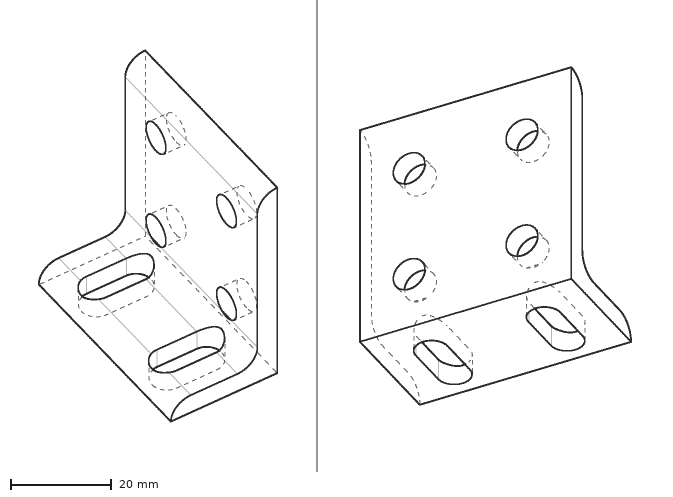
import cadquery as cq

width = 47.625
depth = 25.4
height = 50.8
thickness = 4.7625

tip_radius = thickness
corner_radius = thickness

hole_diameter = 7.14375
hole_spacing = 25.4
lower_hole_height = 12.7
slot_width = hole_diameter
slot_travel = 9.525
slot_length = slot_width + slot_travel
slot_center_from_toe = 11.1125

back_y = depth / 2
toe_y = -depth / 2
bottom_z = -height / 2
column_xs = (-hole_spacing / 2, hole_spacing / 2)


def make_angle():
    """L-shaped bar with quarter-round leg tips and a filleted inside corner."""
    wall_face_y = back_y - thickness
    foot_top_z = bottom_z + thickness
    top_z = bottom_z + height
    return (
        cq.Workplane("YZ")
        .moveTo(back_y, bottom_z)
        .lineTo(back_y, top_z)
        .radiusArc((wall_face_y, top_z - tip_radius), -tip_radius)
        .lineTo(wall_face_y, foot_top_z + corner_radius)
        .radiusArc((wall_face_y - corner_radius, foot_top_z), corner_radius)
        .lineTo(toe_y + tip_radius, foot_top_z)
        .radiusArc((toe_y, bottom_z), -tip_radius)
        .close()
        .extrude(width / 2, both=True)
    )


def make_wall_holes():
    """Square pattern of round holes, running along Y through the wall thickness.

    They stop at the wall face, so the corner fillet just covers the
    lowest sliver of the lower holes.
    """
    lower_z = bottom_z + lower_hole_height
    centers = [(x, z) for x in column_xs for z in (lower_z, lower_z + hole_spacing)]
    return (
        cq.Workplane("XZ", origin=(0, back_y, 0))
        .pushPoints(centers)
        .circle(hole_diameter / 2)
        .extrude(thickness)
    )


def make_foot_slots():
    """Pair of slots, long along Y, running vertically through the foot.

    They rise past the inside corner, so they also notch its fillet.
    """
    slot_y = toe_y + slot_center_from_toe
    return (
        cq.Workplane("XY", origin=(0, 0, bottom_z))
        .pushPoints([(x, slot_y) for x in column_xs])
        .slot2D(slot_length, slot_width, angle=90)
        .extrude(thickness + corner_radius)
    )


result = make_angle().cut(make_wall_holes()).cut(make_foot_slots())